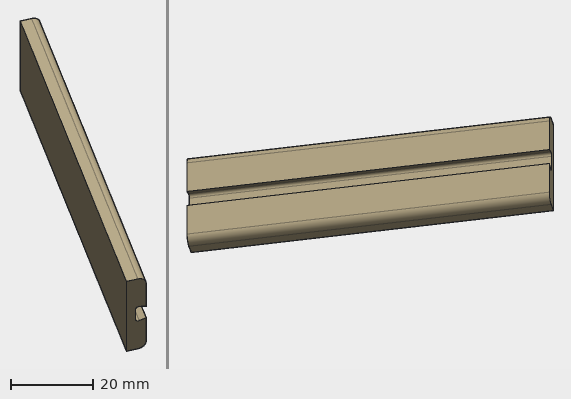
import cadquery as cq
import math

length = 90.0
thickness = 5.0
height = 25.0
back_edge_radius = 2.2

groove_depth = 2.7
groove_mouth = 4.05
groove_wall_angle = 15.0
groove_corner_radius = 0.7

groove_floor = groove_mouth + 2 * groove_depth * math.tan(math.radians(groove_wall_angle))


def make_bar():
    """Flat bar with its two long back edges rounded."""
    bar = cq.Workplane("XY").box(length, thickness, height)
    return bar.edges("|X and >Y").fillet(back_edge_radius)


def make_groove():
    """Dovetail cutter with rounded floor corners, running the full length."""
    back = thickness / 2
    floor = back - groove_depth
    cutter = (
        cq.Workplane("YZ", origin=(-length / 2, 0, 0))
        .moveTo(back, -groove_mouth / 2)
        .lineTo(floor, -groove_floor / 2)
        .lineTo(floor, groove_floor / 2)
        .lineTo(back, groove_mouth / 2)
        .close()
        .extrude(length)
    )
    return cutter.edges("|X and <Y").fillet(groove_corner_radius)


result = make_bar().cut(make_groove())